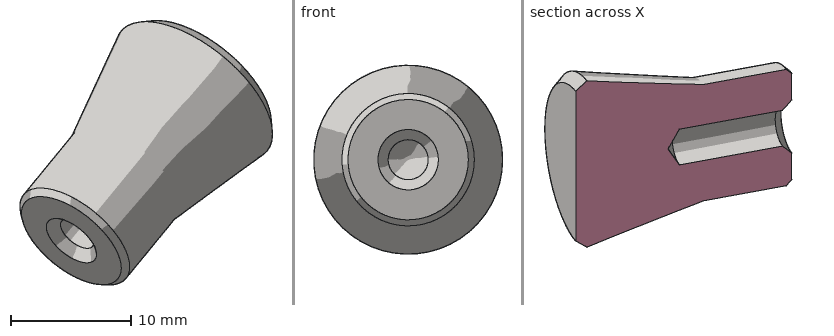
import cadquery as cq
import math

length = 19.3
head_radius = 7.85
neck_radius = 5.5
neck_length = 7.87
neck_chamfer = 0.5
head_chamfer_length = 1.0
head_chamfer_width = 0.8

hole_radius = 1.66
countersink_radius = 2.5
hole_depth = 10.04
drill_point_angle = 118.0

front = -length / 2
back = length / 2
head_rim = back - head_chamfer_length


def make_body():
    """Revolve the neck, flared head and both edge chamfers."""
    profile = (
        cq.Workplane("XY")
        .moveTo(0, front)
        .lineTo(neck_radius - neck_chamfer, front)
        .lineTo(neck_radius, front + neck_chamfer)
        .lineTo(neck_radius, front + neck_length)
        .lineTo(head_radius, head_rim)
        .lineTo(head_radius - head_chamfer_width, back)
        .lineTo(0, back)
        .close()
    )
    return profile.revolve(360, (0, 0), (0, 1))


def make_hole():
    """Revolve a countersunk hole that ends in a drill point."""
    countersink_depth = countersink_radius - hole_radius
    point_length = hole_radius / math.tan(math.radians(drill_point_angle / 2))
    profile = (
        cq.Workplane("XY")
        .moveTo(0, front)
        .lineTo(countersink_radius, front)
        .lineTo(hole_radius, front + countersink_depth)
        .lineTo(hole_radius, front + hole_depth)
        .lineTo(0, front + hole_depth + point_length)
        .close()
    )
    return profile.revolve(360, (0, 0), (0, 1))


result = make_body().cut(make_hole())